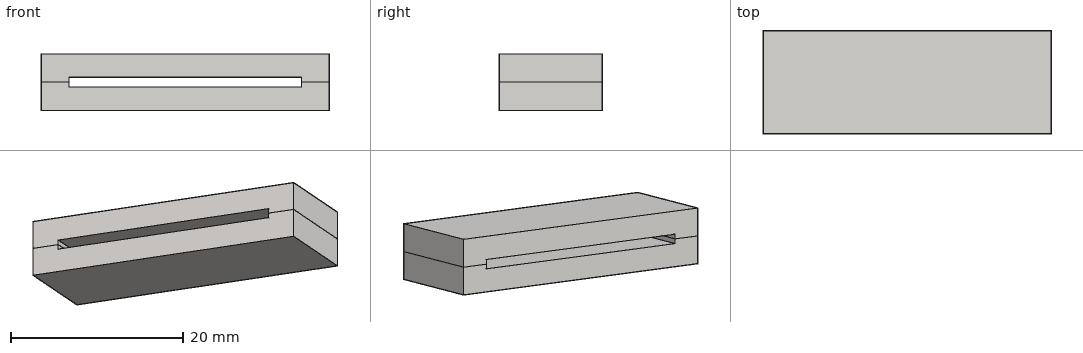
import cadquery as cq

length = 33.5
depth = 12.0
height = 6.6
half_height = height / 2

slot_length = 27.0
slot_height = 1.1


def make_half(side):
    """Channel-shaped half shell; side is 1 above the joint plane, -1 below it."""
    block = cq.Workplane("XY").box(length, depth, half_height).translate((0, 0, side * half_height / 2))
    slot = cq.Workplane("XY").box(slot_length, depth, slot_height)
    return block.cut(slot)


halves = [make_half(side) for side in (-1, 1)]

result = cq.Compound.makeCompound([half.val() for half in halves])